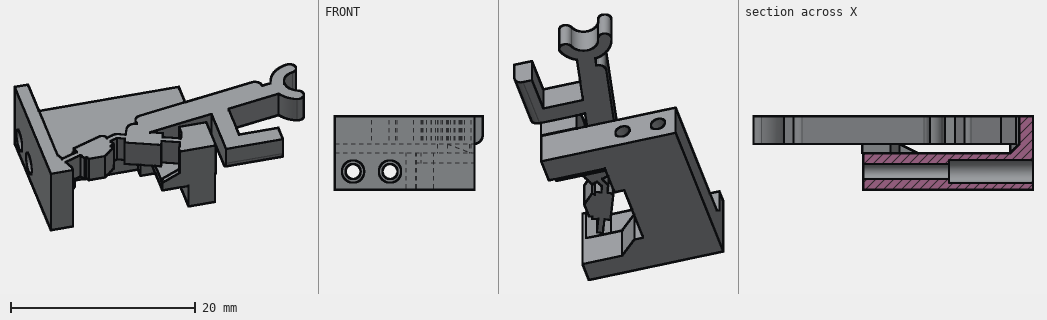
import cadquery as cq
import math

BASE_WIDTH = 15.2
BASE_DEPTH = 18.45
BASE_HEIGHT = 4.0
TOTAL_HEIGHT = 8.0
WALL_THICKNESS = 1.52
ARM_THICKNESS = 3.03
ARM_BOTTOM = TOTAL_HEIGHT - ARM_THICKNESS
GAP = ARM_BOTTOM - BASE_HEIGHT
WALL_FOOT = WALL_THICKNESS + GAP

POCKET_LEFT = 7.77
POCKET_FRONT = 4.43
POCKET_BACK = 11.77
POCKET_BEVEL_START = 8.77
STEP_START = 8.85
STEP_END = 9.38
STEP_BACK = 12.53
UNDERCUT_HEIGHT = 2.9

HOLE_HEIGHT = 2.0
HOLE_POSITIONS = (2.0, 6.0)
HOLE_DIAMETER = 1.6
COUNTERBORE_DIAMETER = 2.43
COUNTERBORE_DEPTH = 9.1

LINK_TILT = 21.0
LINK_MID_Y = 8.5
LINK_WIDTH = 2.0
LINK_LENGTH = 4.0
FLEXURE_WIDTH = 0.67
FLEXURE_LENGTH = 2.0
ELBOW_LENGTH = FLEXURE_LENGTH / 2
FLEXURE_ROOT = 0.3
ANCHOR_X = 13.38
SIN_TILT = math.sin(math.radians(LINK_TILT))
COS_TILT = math.cos(math.radians(LINK_TILT))
TAN_TILT = SIN_TILT / COS_TILT
ANCHOR_RISE = (FLEXURE_LENGTH + LINK_LENGTH + ELBOW_LENGTH) * COS_TILT
ELBOW_X = ANCHOR_X - ANCHOR_RISE * TAN_TILT
ROCKER_CORNER_RADIUS = 0.5
LOBE_WIDTH = 2.3
LOBE_LENGTH = 2.0
LOBE_RADIUS = 1.0

ANCHOR_LEFT = 11.15
ANCHOR_BACK = 18.55
GUSSET_LEFT = 14.62
GUSSET_LENGTH = 2.0
GUSSET_RISE = 1.0

ARM_TILT = 10.0
ARM_ORIGIN = (11.23, 12.23)
ARM_WIDTH = 3.0
ARM_START = -0.67
ARM_LENGTH = 15.02
ARM_CORNER_RADIUS = 0.8
NECK_WIDTH = 2.0
NECK_END = 15.78

CLAW_CENTER = (7.05, 30.05)
CLAW_RADIUS = 2.35
CLAW_WIDTH = 1.45
CLAW_LEFT_ANGLE = 190.5
CLAW_RIGHT_ANGLE = 341.0

STOP_BAR = 2.0
STOP_RIGHT = 16.08
STOP_BOTTOM = 19.45
STOP_TOP = 25.85
STOP_START = 9.1
STOP_CORNER_RADIUS = 1.0


def prism(points, bottom, top):
    """Extrude a closed outline between two heights."""
    return cq.Workplane("XY").workplane(offset=bottom).polyline(points).close().extrude(top - bottom)


def box(x0, x1, y0, y1, z0=ARM_BOTTOM, z1=TOTAL_HEIGHT):
    return cq.Workplane("XY").box(x1 - x0, y1 - y0, z1 - z0, centered=False).translate((x0, y0, z0))


def make_base():
    profile = [
        (0, 0),
        (BASE_DEPTH, 0),
        (BASE_DEPTH, BASE_HEIGHT),
        (WALL_FOOT, BASE_HEIGHT),
        (WALL_THICKNESS, ARM_BOTTOM),
        (WALL_THICKNESS, TOTAL_HEIGHT),
        (0, TOTAL_HEIGHT),
    ]
    base = cq.Workplane("YZ").polyline(profile).close().extrude(BASE_WIDTH)
    bevel = POCKET_FRONT - WALL_FOOT
    pocket = [
        (POCKET_LEFT, POCKET_FRONT),
        (POCKET_BEVEL_START, POCKET_FRONT),
        (POCKET_BEVEL_START + bevel, WALL_FOOT),
        (BASE_WIDTH, WALL_FOOT),
        (BASE_WIDTH, STEP_BACK),
        (STEP_END, STEP_BACK),
        (STEP_START, POCKET_BACK),
        (POCKET_LEFT, POCKET_BACK),
    ]
    base = base.cut(prism(pocket, 0, BASE_HEIGHT))
    undercut_back = rear_y(WALL_THICKNESS)
    return base.cut(box(STEP_START, BASE_WIDTH, POCKET_BACK, undercut_back, 0, UNDERCUT_HEIGHT))


def cut_holes(body):
    for x in HOLE_POSITIONS:
        axis = cq.Workplane("XZ").center(x, HOLE_HEIGHT)
        body = body.cut(axis.circle(HOLE_DIAMETER / 2).extrude(-BASE_DEPTH))
        body = body.cut(axis.circle(COUNTERBORE_DIAMETER / 2).extrude(-COUNTERBORE_DEPTH))
    return body


def rear_y(y):
    """Mirror a Y position about the elbow between the links."""
    return 2 * LINK_MID_Y - y


def slant_x(y):
    """X where the slanted face of the front anchor reaches the given Y."""
    return ANCHOR_X + (y - (LINK_MID_Y - ANCHOR_RISE)) / TAN_TILT


def make_anchors():
    left_x = slant_x(WALL_THICKNESS)
    right_x = slant_x(WALL_FOOT)
    front = [
        (left_x, 0),
        (left_x, WALL_THICKNESS),
        (right_x, WALL_FOOT),
        (BASE_WIDTH, WALL_FOOT),
        (BASE_WIDTH, 0),
    ]
    rear = [
        (ANCHOR_LEFT, ANCHOR_BACK),
        (ANCHOR_LEFT, rear_y(WALL_THICKNESS)),
        (left_x, rear_y(WALL_THICKNESS)),
        (right_x, rear_y(WALL_FOOT)),
        (BASE_WIDTH, rear_y(WALL_FOOT)),
        (BASE_WIDTH, ANCHOR_BACK),
    ]
    anchors = prism(front, 0, TOTAL_HEIGHT).union(prism(rear, BASE_HEIGHT, TOTAL_HEIGHT))
    gusset_back = rear_y(WALL_FOOT)
    gusset = (
        cq.Workplane("YZ")
        .workplane(offset=GUSSET_LEFT)
        .moveTo(gusset_back - GUSSET_LENGTH, BASE_HEIGHT)
        .lineTo(gusset_back, BASE_HEIGHT)
        .lineTo(gusset_back, BASE_HEIGHT + GUSSET_RISE)
        .close()
        .extrude(BASE_WIDTH - GUSSET_LEFT)
    )
    return anchors.union(gusset)


def place_on_rear_link(shape):
    """Move a shape from the link frame, whose origin is the elbow, to the rear link."""
    return shape.rotate((0, 0, 0), (0, 0, 1), -LINK_TILT).translate((ELBOW_X, LINK_MID_Y, 0))


def make_link(corner_width, corner_length, corner_radius):
    """Rear link: two flexures, a block and a rounded corner near the elbow."""
    half = LINK_WIDTH / 2
    block = box(-half, half, ELBOW_LENGTH, ELBOW_LENGTH + LINK_LENGTH)
    corner = box(-corner_width, 0, ELBOW_LENGTH, ELBOW_LENGTH + corner_length)
    corner = corner.edges("|Z and <X and <Y").fillet(corner_radius)
    block = block.cut(box(-half, 0, ELBOW_LENGTH, ELBOW_LENGTH + corner_length))
    link = place_on_rear_link(block.union(corner))
    half_slice = FLEXURE_WIDTH / COS_TILT / 2
    end_y = LINK_MID_Y + ANCHOR_RISE + FLEXURE_ROOT
    end_x = ANCHOR_X + FLEXURE_ROOT * TAN_TILT
    flexure = [
        (ELBOW_X - half_slice, LINK_MID_Y),
        (ELBOW_X + half_slice, LINK_MID_Y),
        (end_x + half_slice, end_y),
        (end_x - half_slice, end_y),
    ]
    return link.union(prism(flexure, ARM_BOTTOM, TOTAL_HEIGHT))


def make_rocker():
    link = make_link(LINK_WIDTH / 2, LINK_LENGTH, ROCKER_CORNER_RADIUS)
    link = link.mirror("XZ").translate((0, 2 * LINK_MID_Y, 0))
    bulge = [
        (12.32, 7.65),
        (12.6, 7.77),
        (13.85, 6.45),
        (13.85, 4.65),
        (13.45, 4.43),
        (12.45, 4.85),
    ]
    return link.union(prism(bulge, ARM_BOTTOM, TOTAL_HEIGHT))


def make_arm():
    beam = box(-ARM_WIDTH, 0, ARM_START, ARM_START + ARM_LENGTH)
    beam = beam.edges("|Z and <X").fillet(ARM_CORNER_RADIUS)
    beam = beam.union(box(-NECK_WIDTH, 0, 0, NECK_END))
    return beam.rotate((0, 0, 0), (0, 0, 1), ARM_TILT).translate((*ARM_ORIGIN, 0))


def claw_point(radius, degrees):
    angle = math.radians(degrees)
    return (CLAW_CENTER[0] + radius * math.cos(angle), CLAW_CENTER[1] + radius * math.sin(angle))


def make_claw():
    inner = CLAW_RADIUS - CLAW_WIDTH / 2
    outer = CLAW_RADIUS + CLAW_WIDTH / 2
    middle_angle = (CLAW_LEFT_ANGLE + CLAW_RIGHT_ANGLE) / 2
    claw = (
        cq.Workplane("XY")
        .workplane(offset=ARM_BOTTOM)
        .moveTo(*claw_point(outer, CLAW_LEFT_ANGLE))
        .threePointArc(claw_point(outer, middle_angle), claw_point(outer, CLAW_RIGHT_ANGLE))
        .lineTo(*claw_point(inner, CLAW_RIGHT_ANGLE))
        .threePointArc(claw_point(inner, middle_angle), claw_point(inner, CLAW_LEFT_ANGLE))
        .close()
        .extrude(ARM_THICKNESS)
    )
    tips = (
        cq.Workplane("XY")
        .workplane(offset=ARM_BOTTOM)
        .pushPoints([claw_point(CLAW_RADIUS, a) for a in (CLAW_LEFT_ANGLE, CLAW_RIGHT_ANGLE)])
        .circle(CLAW_WIDTH / 2)
        .extrude(ARM_THICKNESS)
    )
    return claw.union(tips)


def make_stop():
    bar = box(STOP_START, STOP_RIGHT, STOP_BOTTOM, STOP_BOTTOM + STOP_BAR)
    leg = box(STOP_RIGHT - STOP_BAR, STOP_RIGHT, STOP_BOTTOM, STOP_TOP)
    return bar.union(leg).edges(">X and <Z").fillet(STOP_CORNER_RADIUS)


result = cut_holes(make_base())
result = result.union(make_anchors())
result = result.union(make_link(LOBE_WIDTH, LOBE_LENGTH, LOBE_RADIUS))
for piece in (make_rocker(), make_arm(), make_claw(), make_stop()):
    result = result.union(piece)